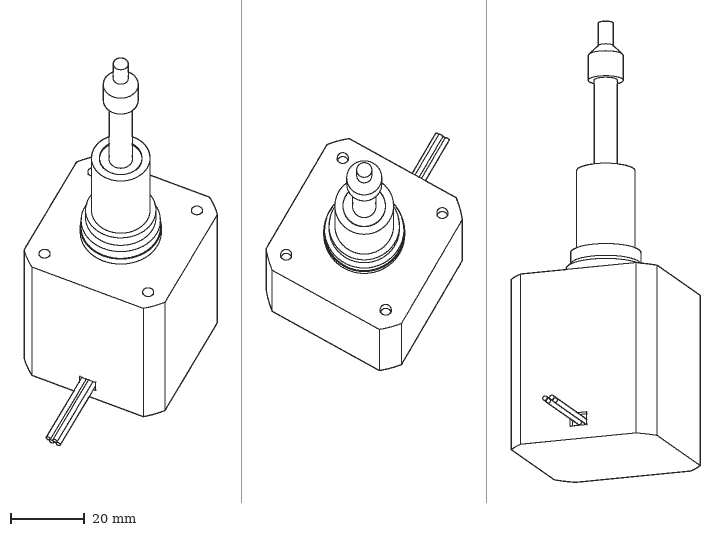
import cadquery as cq


housing_width = 42.2
housing_height = 47.8
housing_corner_diameter = 53.8

mount_hole_pitch = 31.0
mount_hole_diameter = 3.0
mount_hole_depth = 4.5

pilot_diameter = 22.0
pilot_height = 2.2
shoulder_diameter = 21.5
shoulder_height = 3.0
collar_diameter = 19.1
collar_height = 3.3
shoulder_chamfer = (shoulder_diameter - collar_diameter) / 2
sleeve_diameter = 15.9
sleeve_top = 80.5
recess_diameter = 11.5
recess_depth = 0.5

overall_height = 121.98
shaft_diameter = 6.35
cap_diameter = 9.5
cap_height = 7.0
cap_bottom = 105.9
tip_diameter = 4.1
cap_cone_height = (cap_diameter - tip_diameter) / 2

wire_pocket_width = 4.8
wire_pocket_height = 3.6
wire_pocket_depth = 2.0
wire_pocket_z = 5.5
wire_count = 4
wire_diameter = 1.27
wire_pitch = 1.0
wire_row_spacing = 0.85
wire_reach = 21.83

front_face_y = -housing_width / 2
pocket_floor_y = front_face_y + wire_pocket_depth
wire_end_y = front_face_y - wire_reach


def revolved(profile):
    """Solid of revolution about Z from (radius, z) points."""
    return cq.Workplane("XZ").polyline(profile).close().revolve(360, (0, 0), (0, 1))


def make_block():
    """Square block whose four vertical corners lie on one large cylinder."""
    square = cq.Workplane("XY").rect(housing_width, housing_width).extrude(housing_height)
    corner_cylinder = cq.Workplane("XY").circle(housing_corner_diameter / 2).extrude(housing_height)
    return square.intersect(corner_cylinder)


def make_mount_holes():
    return (
        cq.Workplane("XY", origin=(0, 0, housing_height - mount_hole_depth))
        .rect(mount_hole_pitch, mount_hole_pitch, forConstruction=True)
        .vertices()
        .circle(mount_hole_diameter / 2)
        .extrude(mount_hole_depth)
    )


def make_sleeve():
    """Pilot, shoulder, chamfered step, collar and tube, with a shallow recess in the top."""
    pilot_top = housing_height + pilot_height
    shoulder_top = pilot_top + shoulder_height
    collar_bottom = shoulder_top + shoulder_chamfer
    collar_top = collar_bottom + collar_height
    recess_floor = sleeve_top - recess_depth
    return revolved([
        (0, housing_height),
        (pilot_diameter / 2, housing_height),
        (pilot_diameter / 2, pilot_top),
        (shoulder_diameter / 2, pilot_top),
        (shoulder_diameter / 2, shoulder_top),
        (collar_diameter / 2, collar_bottom),
        (collar_diameter / 2, collar_top),
        (sleeve_diameter / 2, collar_top),
        (sleeve_diameter / 2, sleeve_top),
        (recess_diameter / 2, sleeve_top),
        (recess_diameter / 2, recess_floor),
        (0, recess_floor),
    ])


def make_wire_pocket():
    return (
        cq.Workplane("XZ", origin=(0, pocket_floor_y, wire_pocket_z))
        .rect(wire_pocket_width, wire_pocket_height)
        .extrude(wire_pocket_depth)
    )


def make_wire(index):
    """One straight wire from the pocket floor; wires alternate between an upper and a lower row."""
    x = (index - (wire_count - 1) / 2) * wire_pitch
    row_side = 1 if index % 2 == 0 else -1
    z = wire_pocket_z + row_side * wire_row_spacing / 2
    return (
        cq.Workplane("XZ", origin=(x, pocket_floor_y, z))
        .circle(wire_diameter / 2)
        .extrude(pocket_floor_y - wire_end_y)
    )


def make_motor():
    motor = make_block().union(make_sleeve()).cut(make_mount_holes()).cut(make_wire_pocket())
    for index in range(wire_count):
        motor = motor.union(make_wire(index))
    return motor


def make_shaft():
    """Shaft resting on the recess floor, with a wider cap coned down to a slim tip."""
    shaft_bottom = sleeve_top - recess_depth
    cone_bottom = cap_bottom + cap_height
    cone_top = cone_bottom + cap_cone_height
    return revolved([
        (0, shaft_bottom),
        (shaft_diameter / 2, shaft_bottom),
        (shaft_diameter / 2, cap_bottom),
        (cap_diameter / 2, cap_bottom),
        (cap_diameter / 2, cone_bottom),
        (tip_diameter / 2, cone_top),
        (tip_diameter / 2, overall_height),
        (0, overall_height),
    ])


motor = make_motor()
shaft = make_shaft()
result = cq.Compound.makeCompound([motor.val(), shaft.val()])